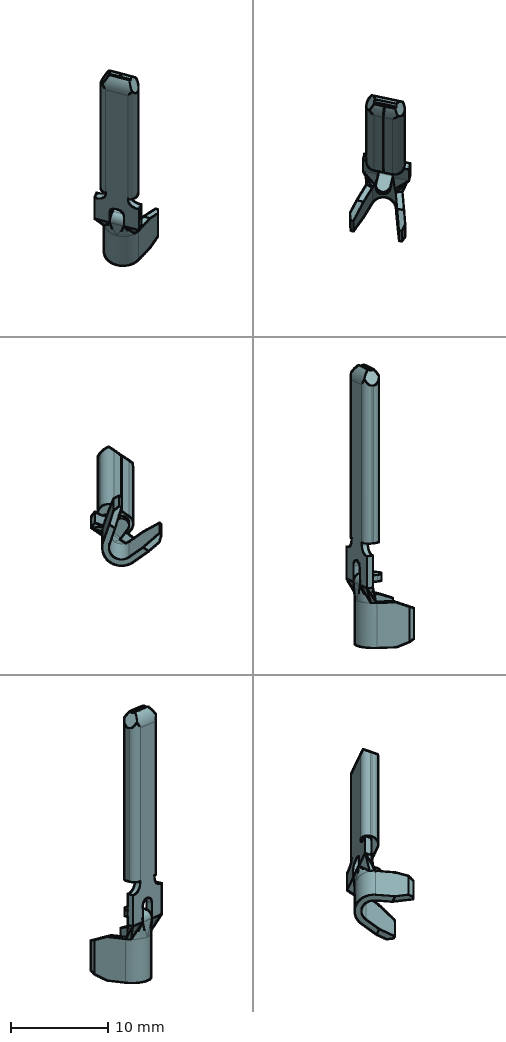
import cadquery as cq
import math

thickness = 0.7
length = 29.3

barrel_height = 4.75
barrel_radius = 2.0
bore_radius = barrel_radius - thickness
wing_angle = math.radians(17.5)
wing_span = 5.83
half_span = wing_span / 2
wing_top = 5.33
wing_end_outer_x = 2.7
wing_end_outer_y = 5.27
wing_corner_start_y = 3.3
wing_corner_drop = 0.8

plate_bottom = 6.55
plate_top = 9.93
plate_half_width = 2.43
slot_top = 9.0
slot_half_width = 0.75
tab_reach = 2.78
tab_end_radius = slot_half_width - 0.003
tab_bend_inner = 0.15
tab_bend_outer = tab_bend_inner + thickness

fold_angle = math.radians(35)

blade_bottom = 11.1
blade_depth = 2.0
blade_half_width = 2.0
front_corner_radius = 0.8
back_corner_radius = 1.03
neck_half_width = blade_half_width - front_corner_radius
neck_arc_radius = 1.05
seam_y = 1.05
back_seam_width = 0.1

shoulder_z = 27.77
tip_half_width = 1.1
tip_front_y = 0.8
tip_back_y = 1.35
tip_notch_depth = 0.15


def barrel_point(radius, angle, side):
    """Point on a circle about the barrel axis; the angle is measured down from horizontal."""
    return (side * radius * math.cos(angle), barrel_radius - radius * math.sin(angle))


def box(x_half, y_from, y_to, z_from, z_to):
    """Block centred on X = 0."""
    return (
        cq.Workplane("XY", origin=(0, y_from, z_from))
        .box(2 * x_half, y_to - y_from, z_to - z_from, centered=(True, False, False))
    )


def barrel():
    outer_start = barrel_point(barrel_radius, wing_angle, 1)
    inner_start = barrel_point(bore_radius, wing_angle, 1)
    slope = math.tan(wing_angle)
    bevel_y = outer_start[1] + (half_span - outer_start[0]) / slope
    right_wing = [
        outer_start,
        (half_span, bevel_y),
        (wing_end_outer_x, wing_end_outer_y),
        (inner_start[0] + (wing_top - inner_start[1]) * slope, wing_top),
        inner_start,
    ]
    left_wing = [(-x, y) for x, y in reversed(right_wing)]

    profile = cq.Workplane("XY").moveTo(*right_wing[0])
    for point in right_wing[1:]:
        profile = profile.lineTo(*point)
    profile = profile.threePointArc((0, thickness), left_wing[0])
    for point in left_wing[1:]:
        profile = profile.lineTo(*point)
    body = profile.threePointArc((0, 0), right_wing[0]).close().extrude(barrel_height)

    side_outline = [
        (0, 0),
        (wing_corner_start_y, 0),
        (wing_top, wing_corner_drop),
        (wing_top, barrel_height - wing_corner_drop),
        (wing_corner_start_y, barrel_height),
        (0, barrel_height),
    ]
    return body.intersect(cq.Workplane("YZ").polyline(side_outline).close().extrude(half_span, both=True))


def skin(radius, side):
    """Corner points and arcs of one side of a transition surface that ends in an arc of this radius."""
    plate_y = barrel_radius - radius

    def on_collar(angle):
        x, y = barrel_point(radius, angle, side)
        return cq.Vector(x, y, barrel_height)

    def collar_arc(start_angle, end_angle):
        middle = on_collar((start_angle + end_angle) / 2)
        return cq.Edge.makeThreePointArc(on_collar(start_angle), middle, on_collar(end_angle))

    return {
        "plate_corner": cq.Vector(side * plate_half_width, plate_y, plate_bottom),
        "slot_corner": cq.Vector(side * slot_half_width, plate_y, plate_bottom),
        "end": on_collar(wing_angle),
        "fold": on_collar(fold_angle),
        "bottom": on_collar(math.pi / 2),
        "side_arc": collar_arc(wing_angle, fold_angle),
        "bottom_arc": collar_arc(fold_angle, math.pi / 2),
    }


def flat_face(*points):
    return cq.Face.makeFromWires(cq.Wire.makePolygon(points, close=True))


def cone_face(arc, apex):
    """Part of a cone from an arc to its apex."""
    return cq.occ_impl.shapes.loft(arc, cq.Vertex.makeVertex(*apex.toTuple()), ruled=True)


def transition():
    """Folded sheet from the barrel's round bottom to the flat plate: triangles joined by cones."""
    faces = []
    collar_edges = []
    skins = {(radius, side): skin(radius, side) for radius in (barrel_radius, bore_radius) for side in (-1, 1)}
    for half in skins.values():
        faces.append(flat_face(half["plate_corner"], half["slot_corner"], half["fold"]))
        faces.append(cone_face(half["side_arc"], half["plate_corner"]))
        faces.append(cone_face(half["bottom_arc"], half["slot_corner"]))
        collar_edges += [half["side_arc"], half["bottom_arc"]]

    for radius in (barrel_radius, bore_radius):
        left = skins[radius, -1]
        right = skins[radius, 1]
        faces.append(flat_face(left["slot_corner"], right["slot_corner"], left["bottom"]))

    for side in (-1, 1):
        outer = skins[barrel_radius, side]
        inner = skins[bore_radius, side]
        collar_end = cq.Edge.makeLine(outer["end"], inner["end"])
        plate_side = cq.Edge.makeLine(outer["plate_corner"], inner["plate_corner"])
        faces.append(cq.Face.makeRuledSurface(collar_end, plate_side))
        collar_edges.append(collar_end)

    plate_end = []
    for radius, direction in ((barrel_radius, 1), (bore_radius, -1)):
        for side, name in ((-1, "plate_corner"), (-1, "slot_corner"), (1, "slot_corner"), (1, "plate_corner")):
            plate_end.append(skins[radius, side * direction][name])
    faces.append(flat_face(*plate_end))
    faces.append(cq.Face.makeFromWires(cq.Wire.combine(collar_edges)[0]))
    return cq.Workplane(cq.Solid.makeSolid(cq.occ_impl.shapes.shell(*faces)))


def plate():
    """Slotted plate with a neck flared by concave arcs."""
    arc_x = neck_half_width + neck_arc_radius
    arc_z = plate_top + neck_arc_radius
    arc_offset = neck_arc_radius * math.sqrt(0.5)
    half = (
        cq.Workplane("XZ")
        .moveTo(0, plate_bottom)
        .lineTo(plate_half_width, plate_bottom)
        .lineTo(plate_half_width, plate_top)
        .lineTo(arc_x, plate_top)
        .threePointArc((arc_x - arc_offset, arc_z - arc_offset), (neck_half_width, arc_z))
        .lineTo(neck_half_width, blade_bottom)
        .lineTo(0, blade_bottom)
        .close()
        .extrude(-thickness)
    )
    slot_arc_z = slot_top - slot_half_width
    slot = (
        cq.Workplane("XZ")
        .moveTo(-slot_half_width, plate_bottom)
        .lineTo(slot_half_width, plate_bottom)
        .lineTo(slot_half_width, slot_arc_z)
        .threePointArc((0, slot_top), (-slot_half_width, slot_arc_z))
        .close()
        .extrude(-thickness)
    )
    return half.union(half.mirror("YZ")).cut(slot)


def tab():
    """Tongue bent backwards out of the slot, with a round end."""
    bend_mid = math.sqrt(0.5)
    side = (
        cq.Workplane("YZ")
        .moveTo(0, plate_bottom)
        .threePointArc(
            (tab_bend_outer * (1 - bend_mid), plate_bottom + tab_bend_outer * bend_mid),
            (tab_bend_outer, plate_bottom + tab_bend_outer),
        )
        .lineTo(tab_reach, plate_bottom + tab_bend_outer)
        .lineTo(tab_reach, plate_bottom + tab_bend_inner)
        .lineTo(tab_bend_outer, plate_bottom + tab_bend_inner)
        .threePointArc(
            (tab_bend_outer - tab_bend_inner * bend_mid, plate_bottom + tab_bend_inner * bend_mid),
            (thickness, plate_bottom),
        )
        .close()
        .extrude(slot_half_width, both=True)
    )
    return side.edges("|Z and >Y").fillet(tab_end_radius)


def blade():
    """Folded blade: rounded sides, an open seam along the back and a tapered, notched tip."""
    body = box(blade_half_width, 0, blade_depth, blade_bottom, length)
    body = body.edges("|Z and <Y").fillet(front_corner_radius)
    body = body.edges("|Z and >Y").fillet(back_corner_radius)

    taper = [
        (-blade_half_width, blade_bottom),
        (blade_half_width, blade_bottom),
        (blade_half_width, shoulder_z),
        (tip_half_width, length),
        (-tip_half_width, length),
        (-blade_half_width, shoulder_z),
    ]
    body = body.intersect(cq.Workplane("XZ").polyline(taper).close().extrude(-blade_depth))

    def arc_middle(inset):
        rise = length - shoulder_z
        radius = (inset**2 + rise**2) / (2 * inset)
        half_angle = math.asin(rise / radius) / 2
        return radius * (1 - math.cos(half_angle)), shoulder_z + radius * math.sin(half_angle)

    front_inset, front_z = arc_middle(tip_front_y)
    back_inset, back_z = arc_middle(blade_depth - tip_back_y)
    nose = (
        cq.Workplane("YZ")
        .moveTo(0, blade_bottom)
        .lineTo(0, shoulder_z)
        .threePointArc((front_inset, front_z), (tip_front_y, length))
        .lineTo(seam_y, length - tip_notch_depth)
        .lineTo(tip_back_y, length)
        .threePointArc((blade_depth - back_inset, back_z), (blade_depth, shoulder_z))
        .lineTo(blade_depth, blade_bottom)
        .close()
        .extrude(blade_half_width, both=True)
    )
    back_seam = box(back_seam_width / 2, seam_y, blade_depth, blade_bottom, length)
    return body.intersect(nose).cut(back_seam)


result = barrel().union(transition()).union(plate()).union(tab()).union(blade()).solids()